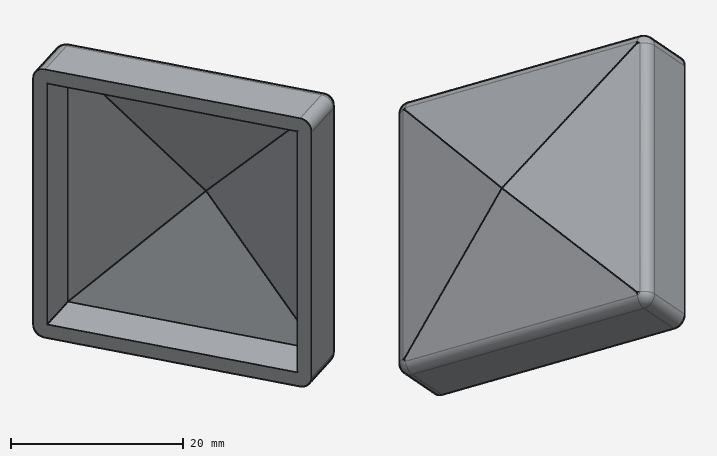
import cadquery as cq
import math

side = 35.0
total_depth = 12.0
foot_depth = 8.0
edge_radius = 1.47
wall = 1.8

core_side = side - 2 * edge_radius
roof_angle = math.atan2(total_depth - foot_depth, core_side / 2)

inner_side = side - 2 * wall
inner_apex_depth = total_depth - wall / math.cos(roof_angle)
inner_foot_depth = inner_apex_depth - inner_side / 2 * math.tan(roof_angle)


def pyramid(base_width, base_y, apex_y):
    """Square pyramid on the Y axis with its base at base_y and its tip at apex_y."""
    half = base_width / 2
    apex = cq.Vector(0, apex_y, 0)
    corners = [
        cq.Vector(x * half, base_y, z * half)
        for x, z in ((-1, -1), (1, -1), (1, 1), (-1, 1))
    ]
    outlines = [corners]
    for start, end in zip(corners, corners[1:] + corners[:1]):
        outlines.append([start, end, apex])
    faces = [cq.Face.makeFromWires(cq.Wire.makePolygon(points, close=True)) for points in outlines]
    return cq.Workplane(cq.Solid.makeSolid(cq.Shell.makeShell(faces)))


def roofed_block(width, foot_y, apex_y):
    """Sharp-edged square block from the rim plane, crowned by a pyramid of the same width."""
    block = cq.Workplane("XY").box(width, foot_y, width).translate((0, foot_y / 2, 0))
    return block.union(pyramid(width, foot_y, apex_y))


def border_section():
    """Border section: X points outward, the eave arc runs smoothly from wall to roof."""
    arc_center_y = foot_depth - edge_radius / math.cos(roof_angle)

    def on_arc(angle):
        """Point of the eave arc at an angle from the outward direction."""
        return (edge_radius * math.cos(angle), arc_center_y + edge_radius * math.sin(angle))

    roof_end = math.pi / 2 - roof_angle
    return (
        cq.Workplane("XY")
        .lineTo(edge_radius, 0)
        .lineTo(*on_arc(0))
        .threePointArc(on_arc(roof_end / 2), on_arc(roof_end))
        .lineTo(0, foot_depth)
        .close()
    )


half_core = core_side / 2
quarter_turn = 90
straight_border = border_section().extrude(half_core, both=True).translate((half_core, 0, 0))
corner_border = border_section().revolve(quarter_turn, (0, 0), (0, 1)).translate((half_core, 0, -half_core))

body = roofed_block(core_side, foot_depth, total_depth)
for quarter in range(4):
    for border in (straight_border, corner_border):
        body = body.union(border.rotate((0, 0, 0), (0, 1, 0), quarter_turn * quarter))

cavity = roofed_block(inner_side, inner_foot_depth, inner_apex_depth)

result = body.cut(cavity).clean()